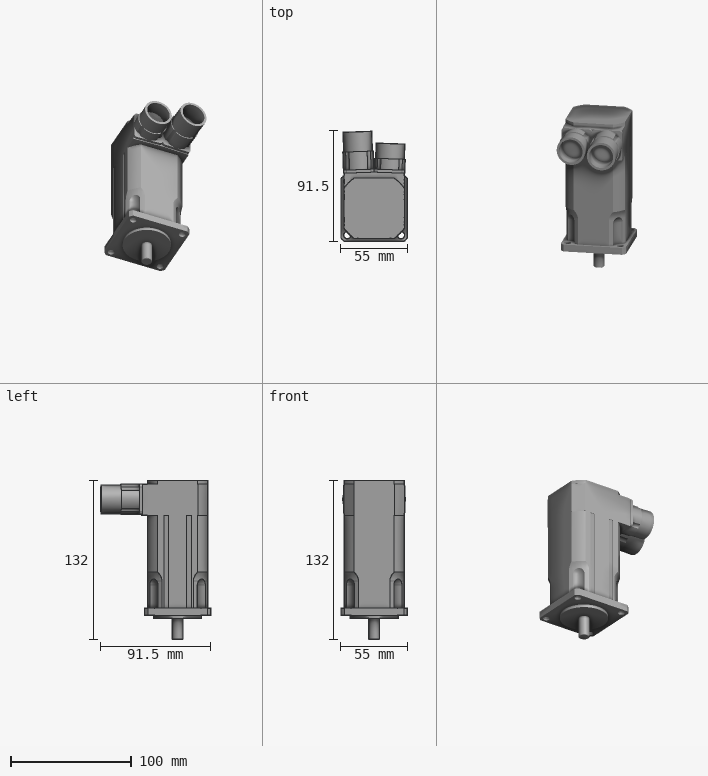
import cadquery as cq
import math

TOTAL_TOP = 112.0
SHAFT_LENGTH = 20.0
FLANGE_THICKNESS = 6.0
PILOT_HEIGHT = 2.5
CAP_THICKNESS = 3.3
BOX_HEIGHT = 25.9
BOX_TOP = TOTAL_TOP - CAP_THICKNESS
BOX_BOTTOM = BOX_TOP - BOX_HEIGHT

BODY_SIZE = 50.0
BODY_CORNER_DIAMETER = 60.0
FLANGE_SIZE = 55.0
FLANGE_CORNER_DIAMETER = 74.0
PILOT_DIAMETER = 40.0
SHAFT_DIAMETER = 9.0
SHAFT_CHAMFER = 0.4
BOX_FRONT_CHAMFER = 8.1

BOLT_CIRCLE_DIAMETER = 63.0
BOLT_HOLE_DIAMETER = 5.8
FOOT_CORNER_RADIUS = 28.2
FOOT_BLEND_START = 28.6
FOOT_BLEND_RADIUS = 15.0
CUT_CLEARANCE = 1.0
SCREW_POCKET_RADIUS = 6.0
SCREW_POCKET_BALL_HEIGHT = 25.0

GROOVE_WIDTH = 4.0
GROOVE_OFFSET = 9.5
GROOVE_DEPTH = 0.5

RIDGE_Y = 30.0
LEAN_ANGLE = 2.0
CONNECTOR_Z = 96.2
PLATE_SIZE = 25.5
PLATE_THICKNESS = 2.5
PLATE_CORNER_RADIUS = 2.5
COLLAR_DIAMETER = PLATE_SIZE
BARREL_DIAMETER = 24.0
BORE_DIAMETER = 20.0
FLUTE_RADIUS = 2.7
FLUTE_OFFSET = 10.2
LONG_COLLAR_LENGTH = 15.0
LONG_TOTAL_LENGTH = 34.0
SHORT_COLLAR_LENGTH = 9.0
SHORT_TOTAL_LENGTH = 24.2


def turned_square(size, corner_diameter, bottom, top):
    """Square bar whose four corners are turned to a common diameter."""
    bar = cq.Workplane("XY", origin=(0, 0, bottom)).rect(size, size).extrude(top - bottom)
    turning = cq.Workplane("XY", origin=(0, 0, bottom)).circle(corner_diameter / 2).extrude(top - bottom)
    return bar.intersect(turning)


def disc(diameter, bottom, top):
    return cq.Workplane("XY", origin=(0, 0, bottom)).circle(diameter / 2).extrude(top - bottom)


def bolt_pattern(bottom):
    return cq.Workplane("XY", origin=(0, 0, bottom)).polarArray(BOLT_CIRCLE_DIAMETER / 2, 45, 360, 4)


def connector_box():
    """Box that carries the connectors, chamfered in front, ending in a shallow ridge behind."""
    half = BODY_SIZE / 2
    side_back_y = RIDGE_Y - half * math.tan(math.radians(LEAN_ANGLE))
    outline = [
        (-half + BOX_FRONT_CHAMFER, -half),
        (half - BOX_FRONT_CHAMFER, -half),
        (half, -half + BOX_FRONT_CHAMFER),
        (half, side_back_y),
        (0, RIDGE_Y),
        (-half, side_back_y),
        (-half, -half + BOX_FRONT_CHAMFER),
    ]
    return cq.Workplane("XY", origin=(0, 0, BOX_BOTTOM)).polyline(outline).close().extrude(BOX_HEIGHT)


def foot_relief():
    """Ring that turns the body corners down near the flange, blending outward at its top."""
    outer = BODY_CORNER_DIAMETER / 2 + CUT_CLEARANCE
    blend_center = FOOT_CORNER_RADIUS + FOOT_BLEND_RADIUS

    def blend_height(radius):
        return FOOT_BLEND_START + math.sqrt(FOOT_BLEND_RADIUS**2 - (blend_center - radius) ** 2)

    middle = (FOOT_CORNER_RADIUS + outer) / 2
    return (
        cq.Workplane("XZ")
        .moveTo(FOOT_CORNER_RADIUS, FLANGE_THICKNESS)
        .lineTo(FOOT_CORNER_RADIUS, FOOT_BLEND_START)
        .threePointArc((middle, blend_height(middle)), (outer, blend_height(outer)))
        .lineTo(outer, FLANGE_THICKNESS)
        .close()
        .revolve(360, (0, 0, 0), (0, 1, 0))
    )


def screw_pockets():
    """Round-ended pockets that clear the mounting screws."""
    straight_height = SCREW_POCKET_BALL_HEIGHT - FLANGE_THICKNESS
    channels = bolt_pattern(FLANGE_THICKNESS).circle(SCREW_POCKET_RADIUS).extrude(straight_height)
    balls = bolt_pattern(SCREW_POCKET_BALL_HEIGHT).sphere(SCREW_POCKET_RADIUS)
    return channels.union(balls)


def flank_grooves():
    height = BOX_BOTTOM - FLANGE_THICKNESS
    half = BODY_SIZE / 2
    centers = [(x, y) for x in (-half, half) for y in (-GROOVE_OFFSET, GROOVE_OFFSET)]
    return (
        cq.Workplane("XY", origin=(0, 0, FLANGE_THICKNESS))
        .pushPoints(centers)
        .rect(2 * GROOVE_DEPTH, GROOVE_WIDTH)
        .extrude(height)
    )


def motor():
    body = turned_square(BODY_SIZE, BODY_CORNER_DIAMETER, FLANGE_THICKNESS, BOX_BOTTOM)
    body = body.cut(foot_relief()).cut(screw_pockets()).cut(flank_grooves())
    flange = turned_square(FLANGE_SIZE, FLANGE_CORNER_DIAMETER, 0, FLANGE_THICKNESS)
    flange = flange.cut(bolt_pattern(0).circle(BOLT_HOLE_DIAMETER / 2).extrude(FLANGE_THICKNESS))
    cap = turned_square(BODY_SIZE, BODY_CORNER_DIAMETER, BOX_TOP, TOTAL_TOP)
    pilot = disc(PILOT_DIAMETER, -PILOT_HEIGHT, 0)
    shaft = disc(SHAFT_DIAMETER, -SHAFT_LENGTH, 0).faces("<Z").chamfer(SHAFT_CHAMFER)
    return body.union(flange).union(connector_box()).union(cap).union(pilot).union(shaft)


def connector(side, collar_length, total_length):
    """Plate, fluted collar and open barrel; side is -1 for the -X connector and +1 for the +X one."""
    lean = math.radians(LEAN_ANGLE)
    center_distance = PLATE_SIZE / 2
    base = cq.Plane(
        origin=(
            side * center_distance * math.cos(lean),
            RIDGE_Y - center_distance * math.sin(lean),
            CONNECTOR_Z,
        ),
        xDir=(-math.cos(lean), side * math.sin(lean), 0),
        normal=(side * math.sin(lean), math.cos(lean), 0),
    )
    plate_outline = cq.Sketch().rect(PLATE_SIZE, PLATE_SIZE).vertices().fillet(PLATE_CORNER_RADIUS)
    plate = cq.Workplane(base).placeSketch(plate_outline).extrude(PLATE_THICKNESS)
    collar = cq.Workplane(base).circle(COLLAR_DIAMETER / 2).extrude(PLATE_THICKNESS + collar_length)
    flutes = (
        cq.Workplane(base)
        .workplane(offset=PLATE_THICKNESS)
        .rect(2 * FLUTE_OFFSET, 2 * FLUTE_OFFSET, forConstruction=True)
        .vertices()
        .circle(FLUTE_RADIUS)
        .extrude(collar_length)
    )
    barrel = cq.Workplane(base).circle(BARREL_DIAMETER / 2).extrude(total_length)
    bore_floor = PLATE_THICKNESS + collar_length
    bore = (
        cq.Workplane(base)
        .workplane(offset=bore_floor)
        .circle(BORE_DIAMETER / 2)
        .extrude(total_length - bore_floor)
    )
    return barrel.union(collar).cut(flutes).cut(bore).union(plate)


motor_body = motor()
long_connector = connector(-1, LONG_COLLAR_LENGTH, LONG_TOTAL_LENGTH)
short_connector = connector(1, SHORT_COLLAR_LENGTH, SHORT_TOTAL_LENGTH)

result = cq.Compound.makeCompound([motor_body.val(), long_connector.val(), short_connector.val()])